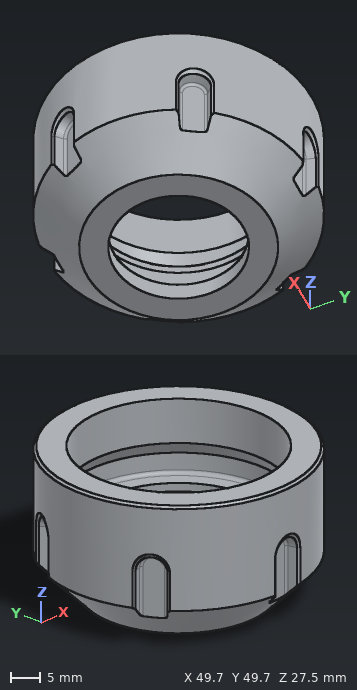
import cadquery as cq
import math

outer_radius = 24.85
height = 27.5
top_chamfer = 0.5
nose_height = 7.85
nose_radius = outer_radius - nose_height

mouth_radius = 38.35 / 2
mouth_bottom = 19.15
relief_radius = 40.5 / 2
relief_top = 16.85
seat_height = 12.85
seat_fillet = 0.75
collar_radius = 33.0 / 2
cone_top = 11.3
exit_radius = 24.0 / 2
cone_half_angle = math.radians(30)
cone_bottom = cone_top - (collar_radius - exit_radius) / math.tan(cone_half_angle)

slot_count = 6
slot_arc_height = 14.7
floor_distance = 22.25
floor_half_width = 1.865
floor_fillet = 0.55
wall_angle = math.radians(14)
flare_distance = 24.3
flare_width = 1.6
flare_depth = 1.1
cutter_margin = 1.0


def make_body():
    """Revolve the outer shape and remove the stepped bore."""
    outside = (
        cq.Workplane("XZ")
        .polyline([
            (0, 0),
            (nose_radius, 0),
            (outer_radius, nose_height),
            (outer_radius, height - top_chamfer),
            (outer_radius - top_chamfer, height),
            (0, height),
        ])
        .close()
        .revolve(360, (0, 0), (0, 1))
    )
    bore = (
        cq.Workplane("XZ")
        .moveTo(0, 0)
        .lineTo(exit_radius, 0)
        .lineTo(exit_radius, cone_bottom)
        .lineTo(collar_radius, cone_top)
        .lineTo(collar_radius, seat_height)
        .lineTo(relief_radius - seat_fillet, seat_height)
        .radiusArc((relief_radius, seat_height + seat_fillet), -seat_fillet)
        .lineTo(relief_radius, relief_top)
        .lineTo(mouth_radius, mouth_bottom)
        .lineTo(mouth_radius, height)
        .lineTo(0, height)
        .close()
        .revolve(360, (0, 0), (0, 1))
    )
    return outside.cut(bore)


def slot_half_section():
    """Half of the slot cross section: local X is half width, local Y is distance from the Z axis."""
    wall_start_x = floor_half_width + floor_fillet * math.cos(wall_angle)
    wall_start_y = floor_distance + floor_fillet * (1 - math.sin(wall_angle))
    flare_x = wall_start_x + (flare_distance - wall_start_y) * math.tan(wall_angle)
    cutter_top = outer_radius + cutter_margin
    mouth_x = flare_x + (cutter_top - flare_distance) * flare_width / flare_depth
    plane = cq.Plane(origin=(0, 0, slot_arc_height), xDir=(0, -1, 0), normal=(0, 0, -1))
    return (
        cq.Workplane(plane)
        .moveTo(0, floor_distance)
        .lineTo(floor_half_width, floor_distance)
        .radiusArc((wall_start_x, wall_start_y), -floor_fillet)
        .lineTo(flare_x, flare_distance)
        .lineTo(mouth_x, cutter_top)
        .lineTo(0, cutter_top)
        .close()
    )


def make_slot_cutter():
    """A round-ended slot on the +X side, running down and out through the nose cone."""
    round_end = slot_half_section().revolve(360, (0, 0), (0, 1))
    half_run = slot_half_section().extrude(slot_arc_height)
    return round_end.union(half_run).union(half_run.mirror("XZ"))


result = make_body()
slot_cutter = make_slot_cutter()
for index in range(slot_count):
    slot_angle = 90 + index * 360 / slot_count
    result = result.cut(slot_cutter.rotate((0, 0, 0), (0, 0, 1), slot_angle))